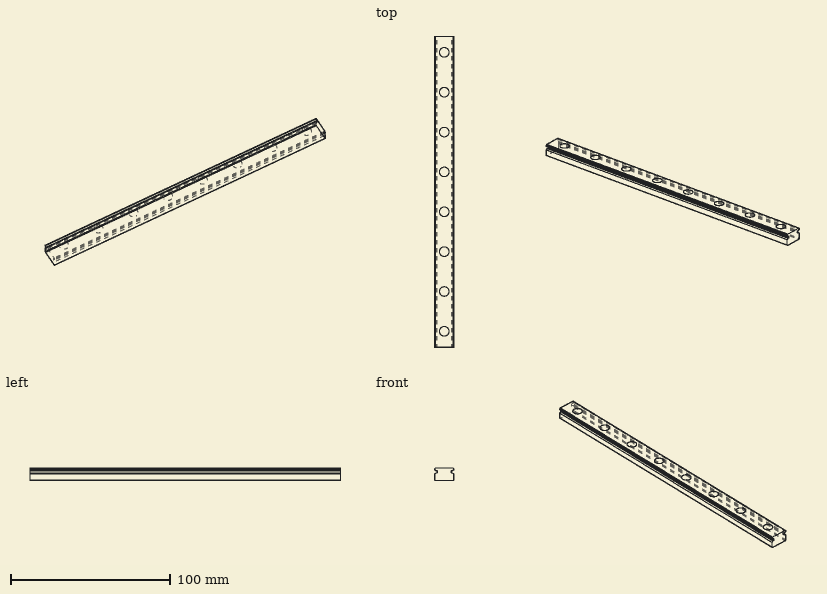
import cadquery as cq

LENGTH = 195.0
WIDTH = 12.0
HEIGHT = 8.0
EDGE_CHAMFER = 0.5

RACEWAY_RADIUS = 1.3
RACEWAY_AXIS_OFFSET = 0.3
RACEWAY_HEIGHT = 5.55
RELIEF_DEPTH = 1.6
RELIEF_HEIGHT = 1.2

SEAT_DIAMETER = 6.0
SEAT_DEPTH = 0.1
SEAT_PITCH = 25.0
SEAT_END_DISTANCE = 10.0
SEAT_COUNT = int((LENGTH - 2 * SEAT_END_DISTANCE) / SEAT_PITCH) + 1


def profile_plane(x, z):
    """Sketch plane on the +Y end, centred at (x, z); extruding runs toward -Y."""
    return cq.Workplane("XZ", origin=(x, LENGTH / 2, z))


def make_body():
    """Bar centred on X and Y, resting on Z = 0, with its four long edges chamfered."""
    bar = profile_plane(0, HEIGHT / 2).rect(WIDTH, HEIGHT).extrude(LENGTH)
    return bar.edges("|Y").chamfer(EDGE_CHAMFER)


def make_raceway(side):
    """Full-length groove cutter for one side: +1 for the +X side, -1 for the -X side."""
    groove_x = side * (WIDTH / 2 + RACEWAY_AXIS_OFFSET)
    groove = profile_plane(groove_x, RACEWAY_HEIGHT).circle(RACEWAY_RADIUS).extrude(LENGTH)
    relief_x = side * (WIDTH - RELIEF_DEPTH) / 2
    relief = profile_plane(relief_x, RACEWAY_HEIGHT).rect(RELIEF_DEPTH, RELIEF_HEIGHT).extrude(LENGTH)
    return groove.union(relief)


def make_cap_seats():
    """Row of shallow round recesses, evenly spaced along the top face."""
    first_seat = SEAT_END_DISTANCE - LENGTH / 2
    centres = [(0, first_seat + i * SEAT_PITCH) for i in range(SEAT_COUNT)]
    top_face = cq.Workplane("XY", origin=(0, 0, HEIGHT))
    return top_face.pushPoints(centres).circle(SEAT_DIAMETER / 2).extrude(-SEAT_DEPTH)


rail = make_body()
for side in (1, -1):
    rail = rail.cut(make_raceway(side))

result = rail.cut(make_cap_seats())